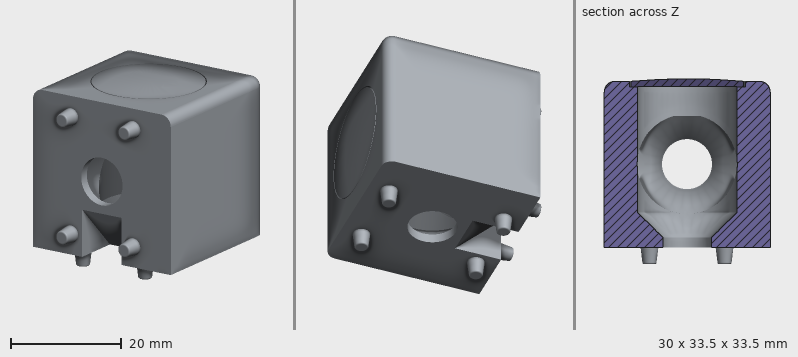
import cadquery as cq
import math

overall_size = 33.5
cube_size = 30.0
half_cube = cube_size / 2
edge_radius = 2.0

pin_length = 3.0
pin_base_diameter = 3.2
pin_tip_diameter = 2.48
pin_tip_fillet = 0.3
pin_x = 6.77
pin_offset = 11.1

port_diameter = 9.0
chamber_diameter = 18.0
port_depth = 1.8
cone_depth = (chamber_diameter - port_diameter) / 2

seat_diameter = 21.0
lens_diameter = 20.6
seat_depth = 1.0
lens_rise = overall_size - cube_size - pin_length

notch_width = 8.58
notch_leg = 8.9


def to_y_axis(shape):
    """Mirror a Z-directed shape about the plane y = z, so it points along Y."""
    return shape.mirror(cq.Vector(0, -1, 1), (0, 0, 0))


def make_block():
    block = cq.Workplane("XY").box(cube_size, cube_size, cube_size)
    side_edges = "(<X or >X) and (>Y or >Z)"
    return block.edges(f"({side_edges}) or (>Y and >Z)").fillet(edge_radius)


def make_chamber():
    """Revolved cavity along Z: port, 45 degree cone, chamber and lens seat."""
    cone_start = -half_cube + port_depth
    cone_end = cone_start + cone_depth
    seat_floor = half_cube - seat_depth
    return (
        cq.Workplane("XZ")
        .moveTo(0, -half_cube)
        .lineTo(port_diameter / 2, -half_cube)
        .lineTo(port_diameter / 2, cone_start)
        .lineTo(chamber_diameter / 2, cone_end)
        .lineTo(chamber_diameter / 2, seat_floor)
        .lineTo(seat_diameter / 2, seat_floor)
        .lineTo(seat_diameter / 2, half_cube)
        .lineTo(0, half_cube)
        .close()
        .revolve(360, (0, 0, 0), (0, 1, 0))
    )


def make_pin(x, y):
    """Tapered pin pointing down from the -Z face."""
    taper = math.degrees(math.atan((pin_base_diameter - pin_tip_diameter) / 2 / pin_length))
    return (
        cq.Workplane("XY", origin=(x, y, -half_cube))
        .circle(pin_base_diameter / 2)
        .extrude(-pin_length, taper=taper)
        .faces("<Z")
        .edges()
        .fillet(pin_tip_fillet)
    )


def make_notch():
    """Triangular prism whose sloped face joins the -Y and -Z faces."""
    return (
        cq.Workplane("YZ")
        .moveTo(-half_cube, -half_cube)
        .lineTo(-half_cube + notch_leg, -half_cube)
        .lineTo(-half_cube, -half_cube + notch_leg)
        .close()
        .extrude(notch_width / 2, both=True)
    )


def make_housing():
    chamber = make_chamber()
    housing = make_block().cut(chamber).cut(to_y_axis(chamber)).cut(make_notch())
    for x in (-pin_x, pin_x):
        for y in (-pin_offset, pin_offset):
            pin = make_pin(x, y)
            housing = housing.union(pin).union(to_y_axis(pin))
    return housing


def make_lens():
    """Disc on the floor of the top seat, with a dome whose rim is flush with the +Z face."""
    lens_radius = lens_diameter / 2
    dome_radius = (lens_radius**2 + lens_rise**2) / (2 * lens_rise)
    dome_top = half_cube + lens_rise
    mid_radius = lens_radius / 2
    mid_z = dome_top - dome_radius + math.sqrt(dome_radius**2 - mid_radius**2)
    seat_floor = half_cube - seat_depth
    return (
        cq.Workplane("XZ")
        .moveTo(0, seat_floor)
        .lineTo(lens_radius, seat_floor)
        .lineTo(lens_radius, half_cube)
        .threePointArc((mid_radius, mid_z), (0, dome_top))
        .close()
        .revolve(360, (0, 0, 0), (0, 1, 0))
    )


housing = make_housing()
top_lens = make_lens()
rear_lens = to_y_axis(top_lens)

result = cq.Compound.makeCompound([housing.val(), top_lens.val(), rear_lens.val()])